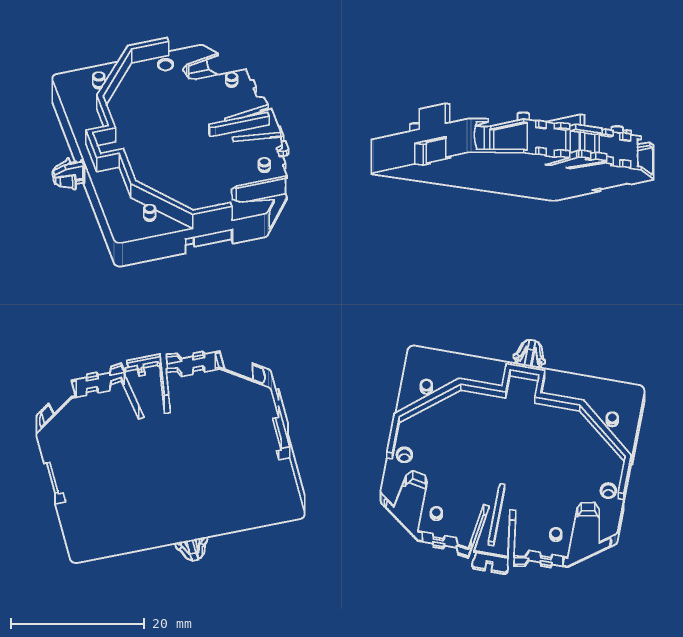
import cadquery as cq
import math

WIDTH = 36.0
HALF_WIDTH = WIDTH / 2
BODY_HEIGHT = 5.15
FENCE_HEIGHT = 3.05
SHOULDER_Y = 23.47
TOP_EDGE_X = 11.38
TOP_EDGE_Y = 28.45
FRONT_CORNER_RADIUS = 1.0
SHOULDER_RADIUS = 0.8
LIP_THICKNESS = 1.05
GUIDE_THICKNESS = 0.8
GUIDE_HALF_SPAN = 5.5

TONGUE_TIP = (2.55, 29.95)
TONGUE_ROOT = (1.55, 22.7)
SLOT_ROOT = (2.45, 22.6)
SLOT_MOUTH = (3.45, 29.7)
FOOT_HALF_WIDTH = 2.7
FOOT_TIP_HALF_WIDTH = 2.4
FOOT_TIP_Y = 31.2
FOOT_HEIGHT = LIP_THICKNESS
NOTCH_WIDTH = 0.97
NOTCH_CENTER_X = 0.18
RIB_LEFT, RIB_RIGHT = -0.2, 0.6
RIB_BACK_Y, RIB_FRONT_Y = 28.7, 19.5
RIB_TAPER_LENGTH = 0.8
RIB_TAPER = 0.15
RIB_TOP = 7.05

PLATE_THICKNESS = 0.5
POCKET_INNER_X = 10.65
POCKET_OUTER_X = 17.28
POCKET_BULGE = 0.32
POCKET_FRONT_Y = 20.52
RAMP_LENGTH, RAMP_RISE = 0.6, 0.55

FENCE_END_Y = 18.07

RECESS_HEIGHT = 3.15
RECESS_BACK_Y, RECESS_STEP_Y, RECESS_FRONT_Y = 18.18, 12.5, 10.87
RECESS_DEPTH = 0.95
RECESS_STEP_DEPTH = 1.65

REAR_PIN_X, REAR_PIN_Y = 9.07, 25.55
FRONT_PIN_X, FRONT_PIN_Y = 14.1, 6.37
REAR_PIN_TOP, FRONT_PIN_TOP = 6.7, 7.15
PIN_RADIUS, PIN_NECK_RADIUS = 0.9, 0.75
PIN_NECK_HEIGHT = 0.4
PIN_CHAMFER = 0.15
SOCKET_X, SOCKET_Y = 15.48, 17.1
SOCKET_RADIUS, SOCKET_FLOOR_RADIUS = 1.0, 0.8
SOCKET_DEPTH = 2.15
SOCKET_CHAMFER = 0.18

CLIP_Z = BODY_HEIGHT / 2
CLIP_LENGTH = 4.5
STEM_HALF_WIDTH, STEM_HALF_HEIGHT = 0.45, 1.7
STEM_TAPER_Y = -2.77
COLLAR_HALF_WIDTH, COLLAR_THICKNESS = 0.8, 0.18
CLIP_TIP_RADIUS = 0.97
WING_RADIUS = 2.45
WING_ANGLE = 40.0
FINGER_HALF_HEIGHT = 0.32

SIDES = (-1, 1)
OVERSHOOT = 1.8


def mirrored(points):
    """Close a right-hand half outline with its mirror image across X = 0."""
    return points + [(-x, y) for x, y in reversed(points)]


def prism(points, bottom, top):
    return cq.Workplane("XY").workplane(offset=bottom).polyline(points).close().extrude(top - bottom)


def block(x_range, y_range, z_range):
    size = [abs(b - a) for a, b in (x_range, y_range, z_range)]
    low = [min(pair) for pair in (x_range, y_range, z_range)]
    return cq.Workplane("XY").box(*size, centered=False).translate(tuple(low))


def flipped(shape, side):
    """The shape itself on the +X side, its mirror image on the -X side."""
    return shape if side > 0 else shape.mirror("YZ")


def round_side_edges(body, y, radius):
    """Fillet the upright edges at both ends of the width, at the given Y."""
    reach = 0.35
    around = cq.selectors.BoxSelector(
        (-HALF_WIDTH - reach, y - reach, 0), (HALF_WIDTH + reach, y + reach, BODY_HEIGHT))
    return body.edges("|Z").edges(around).fillet(radius)


def make_body():
    half_outline = [
        (HALF_WIDTH, 0), (HALF_WIDTH, SHOULDER_Y), (TOP_EDGE_X, TOP_EDGE_Y),
        (9.07, TOP_EDGE_Y), (8.9, 28.95), (7.4, 28.95), (7.25, TOP_EDGE_Y),
        (GUIDE_HALF_SPAN, TOP_EDGE_Y), (5.08, 29.45), SLOT_MOUTH,
        SLOT_ROOT, TONGUE_ROOT, TONGUE_TIP,
    ]
    body = prism(mirrored(half_outline), 0, BODY_HEIGHT)
    body = round_side_edges(body, 0, FRONT_CORNER_RADIUS)
    body = round_side_edges(body, SHOULDER_Y, SHOULDER_RADIUS)

    lip_gap = (LIP_THICKNESS, BODY_HEIGHT - LIP_THICKNESS)
    body = body.cut(block((-HALF_WIDTH, HALF_WIDTH), (TOP_EDGE_Y, FOOT_TIP_Y), lip_gap))
    guide_gap = (LIP_THICKNESS, BODY_HEIGHT - GUIDE_THICKNESS)
    return body.cut(block((-GUIDE_HALF_SPAN, GUIDE_HALF_SPAN), (TOP_EDGE_Y, FOOT_TIP_Y), guide_gap))


def make_foot():
    """Thin latch at the bottom of the tongue, split by a notch."""
    tip_x, tip_y = TONGUE_TIP
    half_outline = [
        (tip_x, tip_y), (FOOT_HALF_WIDTH, 30.3), (FOOT_HALF_WIDTH, 30.8), (FOOT_TIP_HALF_WIDTH, FOOT_TIP_Y),
    ]
    foot = prism(mirrored(half_outline), 0, FOOT_HEIGHT)
    notch_x = (NOTCH_CENTER_X - NOTCH_WIDTH / 2, NOTCH_CENTER_X + NOTCH_WIDTH / 2)
    return foot.cut(block(notch_x, (tip_y, FOOT_TIP_Y), (0, FOOT_HEIGHT)))


def make_rib():
    outline = [
        (RIB_LEFT, RIB_BACK_Y), (RIB_RIGHT, RIB_BACK_Y), (RIB_RIGHT, RIB_FRONT_Y + RIB_TAPER_LENGTH),
        (RIB_RIGHT - RIB_TAPER, RIB_FRONT_Y), (RIB_LEFT, RIB_FRONT_Y),
    ]
    return prism(outline, 0, RIB_TOP)


def make_pocket():
    """Cutter for the right-hand wire pocket: an open-topped slot widened below its roof."""
    end_outer, end_inner = (13.82, 19.3), (11.85, 19.7)
    opening = prism(
        [(TOP_EDGE_X, TOP_EDGE_Y + OVERSHOOT), (TOP_EDGE_X, 20.65), end_inner, end_outer,
         (14.65, 20.2), (15.6, 25.25), (15.9, TOP_EDGE_Y + OVERSHOOT)],
        PLATE_THICKNESS, BODY_HEIGHT)

    end_length = math.dist(end_outer, end_inner)
    along = ((end_outer[0] - end_inner[0]) / end_length, (end_outer[1] - end_inner[1]) / end_length)
    ramp_plane = cq.Plane(
        origin=(end_inner[0], end_inner[1], PLATE_THICKNESS),
        xDir=(-along[1], along[0], 0), normal=(along[0], along[1], 0))
    up = ramp_plane.yDir.z
    ramp = (
        cq.Workplane(ramp_plane)
        .polyline([(0, 0), (RAMP_LENGTH, 0), (0, up * RAMP_RISE)])
        .close()
        .extrude(end_length + OVERSHOOT, both=True)
    )
    opening = opening.cut(ramp)

    roof = BODY_HEIGHT - PLATE_THICKNESS
    widened = (
        cq.Workplane("XZ", origin=(0, POCKET_FRONT_Y, 0))
        .moveTo(POCKET_INNER_X, PLATE_THICKNESS)
        .lineTo(POCKET_OUTER_X - POCKET_BULGE, PLATE_THICKNESS)
        .threePointArc((POCKET_OUTER_X, BODY_HEIGHT / 2), (POCKET_OUTER_X - POCKET_BULGE, roof))
        .lineTo(POCKET_INNER_X, roof)
        .close()
        .extrude(POCKET_FRONT_Y - TOP_EDGE_Y - OVERSHOOT)
    )
    return opening.union(widened)


def make_fence():
    outer = [(HALF_WIDTH, FENCE_END_Y), (HALF_WIDTH, 11.95), (9.45, 4.75), (2.95, 4.75), (2.95, 1.25)]
    inner = [(17.15, FENCE_END_Y), (17.15, 12.3), (9.0, 5.65), (2.2, 5.65), (2.2, 2.12)]
    outside = prism(mirrored(outer), BODY_HEIGHT, BODY_HEIGHT + FENCE_HEIGHT)
    return outside.cut(prism(mirrored(inner), BODY_HEIGHT, BODY_HEIGHT + FENCE_HEIGHT))


def make_side_recess():
    """Cutter for the stepped recess along the bottom of the right-hand side."""
    outline = [
        (HALF_WIDTH, RECESS_BACK_Y), (HALF_WIDTH - RECESS_DEPTH, RECESS_BACK_Y),
        (HALF_WIDTH - RECESS_DEPTH, RECESS_STEP_Y), (HALF_WIDTH - RECESS_STEP_DEPTH, RECESS_STEP_Y),
        (HALF_WIDTH - RECESS_STEP_DEPTH, RECESS_FRONT_Y), (HALF_WIDTH, RECESS_FRONT_Y),
    ]
    return prism(outline, 0, RECESS_HEIGHT)


def make_pin(x, y, top):
    """Round pin with a slim neck and a chamfered head, rising from the top face."""
    height = top - BODY_HEIGHT
    profile = [
        (0, 0), (PIN_NECK_RADIUS, 0), (PIN_NECK_RADIUS, PIN_NECK_HEIGHT), (PIN_RADIUS, PIN_NECK_HEIGHT),
        (PIN_RADIUS, height - PIN_CHAMFER), (PIN_RADIUS - PIN_CHAMFER, height), (0, height),
    ]
    pin = cq.Workplane("XZ").polyline(profile).close().revolve(360, (0, 0), (0, 1))
    return pin.translate((x, y, BODY_HEIGHT))


def make_socket(x, y):
    """Cutter for a tapered blind hole with a chamfered mouth."""
    profile = [
        (0, 0), (SOCKET_RADIUS + SOCKET_CHAMFER, 0), (SOCKET_RADIUS, -SOCKET_CHAMFER),
        (SOCKET_FLOOR_RADIUS, -SOCKET_DEPTH), (0, -SOCKET_DEPTH),
    ]
    socket = cq.Workplane("XZ").polyline(profile).close().revolve(360, (0, 0), (0, 1))
    return socket.translate((x, y, BODY_HEIGHT))


def make_clip():
    """Arrow-shaped snap clip: a flat stem with two curved, springy wings."""
    stem_outline = [
        (0, STEM_HALF_HEIGHT), (STEM_TAPER_Y, STEM_HALF_HEIGHT), (-CLIP_LENGTH, CLIP_TIP_RADIUS),
        (-CLIP_LENGTH, -CLIP_TIP_RADIUS), (STEM_TAPER_Y, -STEM_HALF_HEIGHT), (0, -STEM_HALF_HEIGHT),
    ]
    clip = cq.Workplane("YZ").polyline(stem_outline).close().extrude(STEM_HALF_WIDTH, both=True)
    clip = clip.union(block(
        (-COLLAR_HALF_WIDTH, COLLAR_HALF_WIDTH), (-COLLAR_THICKNESS, 0), (-STEM_HALF_HEIGHT, STEM_HALF_HEIGHT)))

    wing_profile = [
        (0, -CLIP_LENGTH), (CLIP_TIP_RADIUS, -CLIP_LENGTH), (1.5, -3.92), (2.1, -2.2),
        (WING_RADIUS, -1.87), (WING_RADIUS, -1.73), (1.73, -1.6), (0.85, -3.53), (0, -3.53),
    ]
    wing_cone = cq.Workplane("XY").polyline(wing_profile).close().revolve(360, (0, 0), (0, 1))
    sector_x = 2 * WING_RADIUS
    sector_z = sector_x * math.tan(math.radians(WING_ANGLE))
    finger_outline = [(1.6, -1.87), (1.95, -1.87), (1.95, -0.5), (1.7, -0.5), (1.62, -1.15)]
    for side in SIDES:
        sector = (
            cq.Workplane("XZ")
            .polyline([(0, 0), (side * sector_x, sector_z), (side * sector_x, -sector_z)])
            .close()
            .extrude(CLIP_LENGTH)
        )
        finger = flipped(prism(finger_outline, -FINGER_HALF_HEIGHT, FINGER_HALF_HEIGHT), side)
        clip = clip.union(wing_cone.intersect(sector)).union(finger)
    return clip.translate((0, 0, CLIP_Z))


result = make_body()
for direction in SIDES:
    result = result.cut(flipped(make_pocket(), direction))
    result = result.cut(flipped(make_side_recess(), direction))
    result = result.cut(make_socket(direction * SOCKET_X, SOCKET_Y))
    result = result.union(make_pin(direction * REAR_PIN_X, REAR_PIN_Y, REAR_PIN_TOP))
    result = result.union(make_pin(direction * FRONT_PIN_X, FRONT_PIN_Y, FRONT_PIN_TOP))
for feature in (make_foot(), make_rib(), make_fence(), make_clip()):
    result = result.union(feature)